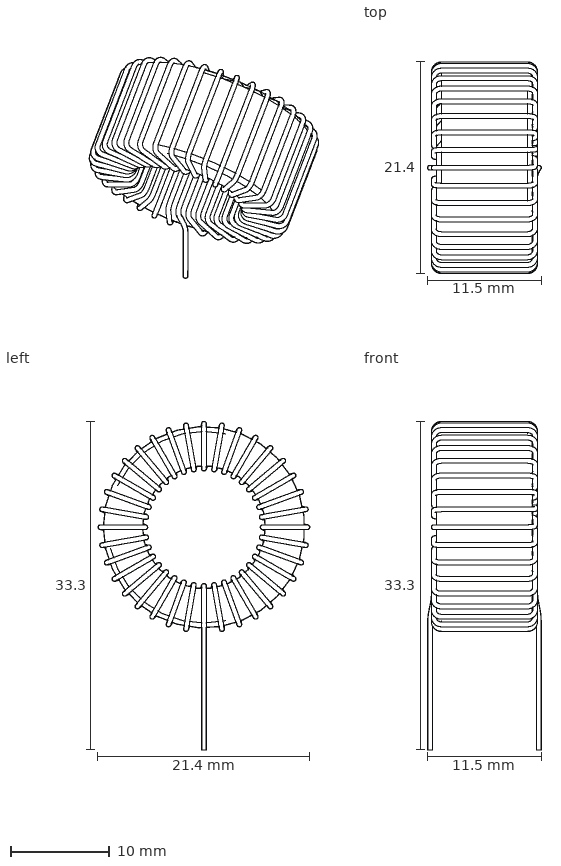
import cadquery as cq
import math

core_outer_diameter = 20.4
core_bore_diameter = 12.4
core_width = 9.7
core_edge_radius = 0.5

wire_diameter = 0.5
wire_clearance = 0.015
turn_count = 36
turn_angle = 360 / turn_count
start_angle = -90

overall_height = 33.25
overall_width = 11.5
lead_bend_z = -9.58

wire_radius = wire_diameter / 2
wire_offset = wire_radius + wire_clearance
bore_run_radius = core_bore_diameter / 2 - wire_offset
outer_run_radius = core_outer_diameter / 2 + wire_offset
face_x = core_width / 2 + wire_offset
bend_radius = core_edge_radius + wire_offset

lead_x = overall_width / 2 - wire_radius
lead_end_z = outer_run_radius + wire_radius - overall_height


def make_core():
    """Ring with all four circular edges rounded."""
    return (
        cq.Workplane("YZ", origin=(-core_width / 2, 0, 0))
        .circle(core_outer_diameter / 2)
        .circle(core_bore_diameter / 2)
        .extrude(core_width)
        .edges("%CIRCLE")
        .fillet(core_edge_radius)
    )


def winding_point(x, radius, position):
    """Point on the winding; positions count round the axis from the bottom towards +Y."""
    angle = math.radians(start_angle - position * turn_angle)
    return cq.Vector(x, -radius * math.cos(angle), radius * math.sin(angle))


def winding_corners():
    """Sharp corners of the winding, from the first bore run to the last.

    The wire lies radially on the -X face and advances by one position on the +X face.
    """
    corners = []
    for position in range(turn_count):
        if position > 0:
            corners.append(winding_point(face_x, outer_run_radius, position))
            corners.append(winding_point(-face_x, outer_run_radius, position))
        corners.append(winding_point(-face_x, bore_run_radius, position))
        corners.append(winding_point(face_x, bore_run_radius, position))
    return corners


def right_angle_bend(before, corner, after):
    """Quarter-circle bend at a square corner."""
    back = (before - corner).normalized()
    ahead = (after - corner).normalized()
    centre = corner + (back + ahead) * bend_radius
    middle = centre - (back + ahead).normalized() * bend_radius
    return cq.Edge.makeThreePointArc(corner + back * bend_radius, middle, corner + ahead * bend_radius)


def lead_bend(start, start_direction, end, end_direction):
    """Smooth curve that joins the wire on a core face to a vertical lead."""
    return cq.Edge.makeSpline([start, end], tangents=[start_direction, end_direction])


def make_winding():
    """Round wire swept along the start lead, all turns and the end lead."""
    start_lead_end = cq.Vector(-lead_x, 0, lead_end_z)
    start_bend_bottom = cq.Vector(-lead_x, 0, lead_bend_z)
    end_bend_bottom = cq.Vector(lead_x, 0, lead_bend_z)
    end_lead_end = cq.Vector(lead_x, 0, lead_end_z)

    first_face_point = winding_point(-face_x, outer_run_radius, 0)
    last_face_point = winding_point(face_x, outer_run_radius, turn_count)
    corners = winding_corners()
    route = [first_face_point, *corners, last_face_point]
    bends = [right_angle_bend(*route[i - 1:i + 2]) for i in range(1, len(route) - 1)]

    up = cq.Vector(0, 0, 1)
    path = [
        cq.Edge.makeLine(start_lead_end, start_bend_bottom),
        lead_bend(start_bend_bottom, up, bends[0].startPoint(), up),
        bends[0],
    ]
    for previous_bend, bend in zip(bends, bends[1:]):
        path.append(cq.Edge.makeLine(previous_bend.endPoint(), bend.startPoint()))
        path.append(bend)
    face_direction = (last_face_point - corners[-1]).normalized()
    path.append(lead_bend(bends[-1].endPoint(), face_direction, end_bend_bottom, -up))
    path.append(cq.Edge.makeLine(end_bend_bottom, end_lead_end))

    section = cq.Workplane("XY", origin=start_lead_end.toTuple()).circle(wire_radius)
    return section.sweep(cq.Workplane(cq.Wire.assembleEdges(path)))


core = make_core()
winding = make_winding()
result = cq.Compound.makeCompound([core.val(), winding.val()])